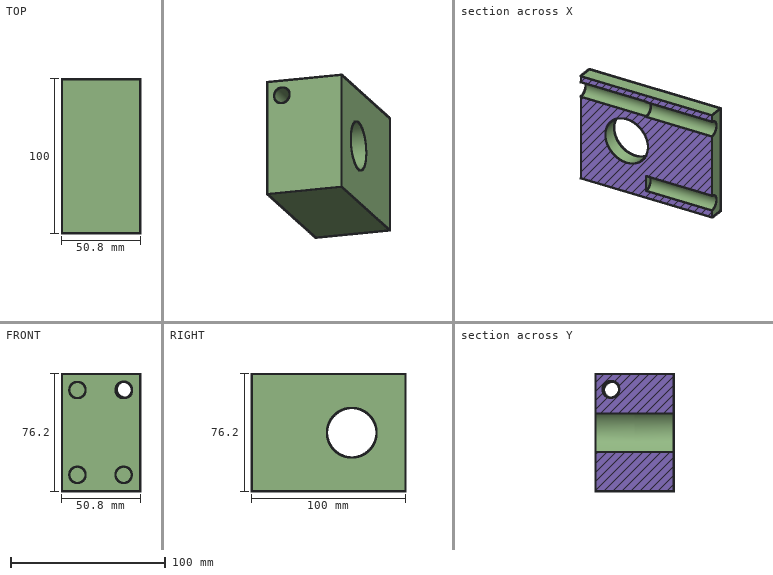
import cadquery as cq

WIDTH = 50.8
LENGTH = 100.0
HEIGHT = 76.2

BORE_DIAMETER = 32.0
BORE_FROM_REAR = 35.0

HOLE_DIAMETER = 10.6
HOLE_DEPTH = LENGTH / 2
HOLE_SPACING_X = 30.0
HOLE_SPACING_Z = 55.0
LEFT_MARGIN = 10.0
TOP_MARGIN = 10.4

REAR_HOLE_RIGHT_MARGIN = 10.0
REAR_HOLE_TOP_MARGIN = 10.0


def cylinder_along_y(x, z, y_start, depth):
    """Hole cutter running toward +Y from y_start."""
    return cq.Workplane(
        cq.Solid.makeCylinder(HOLE_DIAMETER / 2, depth, cq.Vector(x, y_start, z), cq.Vector(0, 1, 0))
    )


block = cq.Workplane("XY").box(WIDTH, LENGTH, HEIGHT)

bore_y = LENGTH / 2 - BORE_FROM_REAR
bore = cq.Workplane("YZ").center(bore_y, 0).circle(BORE_DIAMETER / 2).extrude(WIDTH / 2, both=True)
result = block.cut(bore)

left_x = -WIDTH / 2 + LEFT_MARGIN
top_z = HEIGHT / 2 - TOP_MARGIN
for x in (left_x, left_x + HOLE_SPACING_X):
    for z in (top_z, top_z - HOLE_SPACING_Z):
        result = result.cut(cylinder_along_y(x, z, -LENGTH / 2, HOLE_DEPTH))

rear_x = WIDTH / 2 - REAR_HOLE_RIGHT_MARGIN
rear_z = HEIGHT / 2 - REAR_HOLE_TOP_MARGIN
rear_y_start = -LENGTH / 2 + HOLE_DEPTH
result = result.cut(cylinder_along_y(rear_x, rear_z, rear_y_start, LENGTH - HOLE_DEPTH))